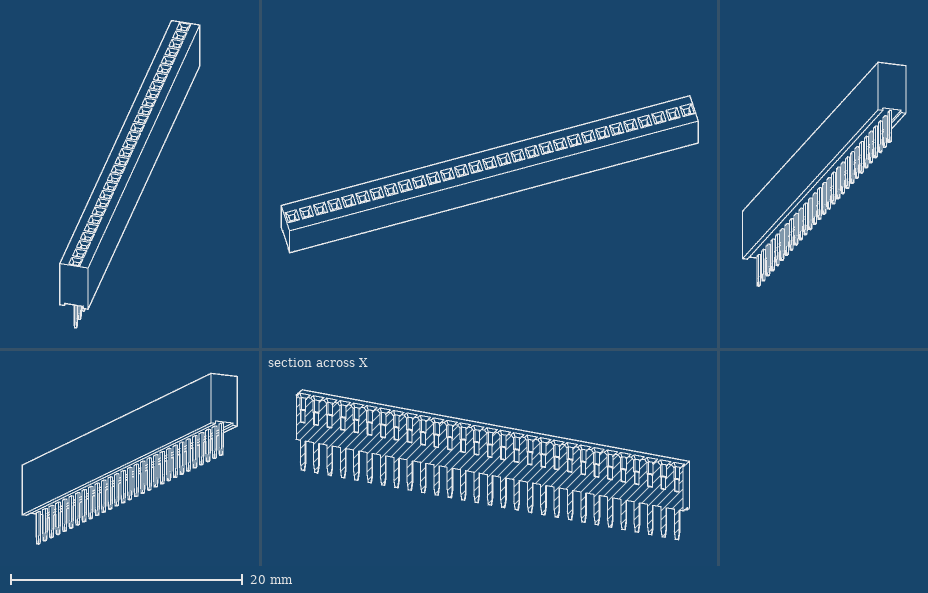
import cadquery as cq

length = 36.83
width = 2.55
total_height = 7.0
pin_count = 29
pitch = length / pin_count
housing_height = 4.42
rail_width = 0.45
rail_height = 0.22

mouth_side = 1.0
throat_side = 0.5
funnel_depth = 0.25
well_depth = 1.1
slot_width = 0.15
slot_length = 0.4
slot_depth = 1.1

pin_width = 0.5
pin_thickness = 0.2
tip_width = 0.3
tip_length = 0.75

housing_top = total_height
housing_bottom = total_height - housing_height
channel_ceiling = housing_bottom + rail_height
well_floor = housing_top - funnel_depth - well_depth
socket_ys = [(i - (pin_count - 1) / 2) * pitch for i in range(pin_count)]


def make_housing():
    """Long block with a channel underneath that leaves a rail along each side."""
    block = (
        cq.Workplane("XY")
        .workplane(offset=housing_bottom)
        .rect(width, length)
        .extrude(housing_height)
    )
    channel = (
        cq.Workplane("XY")
        .workplane(offset=housing_bottom)
        .rect(width - 2 * rail_width, length)
        .extrude(rail_height)
    )
    return block.cut(channel)


def make_socket():
    """Solid of the space inside one socket, centred on the Z axis."""
    funnel = (
        cq.Workplane("XY")
        .workplane(offset=housing_top)
        .rect(mouth_side, mouth_side)
        .workplane(offset=-funnel_depth)
        .rect(throat_side, throat_side)
        .loft(ruled=True)
    )
    well = (
        cq.Workplane("XY")
        .workplane(offset=well_floor)
        .rect(throat_side, throat_side)
        .extrude(well_depth)
    )
    slot = (
        cq.Workplane("XY")
        .workplane(offset=well_floor)
        .rect(slot_width, slot_length)
        .extrude(-slot_depth)
    )
    return funnel.union(well).union(slot)


def make_pin():
    """Flat pin with a tapered tip at Z = 0, rooted in the channel ceiling."""
    return (
        cq.Workplane("YZ")
        .moveTo(-tip_width / 2, 0)
        .lineTo(tip_width / 2, 0)
        .lineTo(pin_width / 2, tip_length)
        .lineTo(pin_width / 2, channel_ceiling)
        .lineTo(-pin_width / 2, channel_ceiling)
        .lineTo(-pin_width / 2, tip_length)
        .close()
        .extrude(pin_thickness / 2, both=True)
    )


def repeat_along_row(shape):
    """Compound of copies of a solid, one at every socket position."""
    solid = shape.val()
    return cq.Workplane(
        cq.Compound.makeCompound([solid.translate(cq.Vector(0, y, 0)) for y in socket_ys])
    )


result = make_housing().cut(repeat_along_row(make_socket())).union(repeat_along_row(make_pin()))